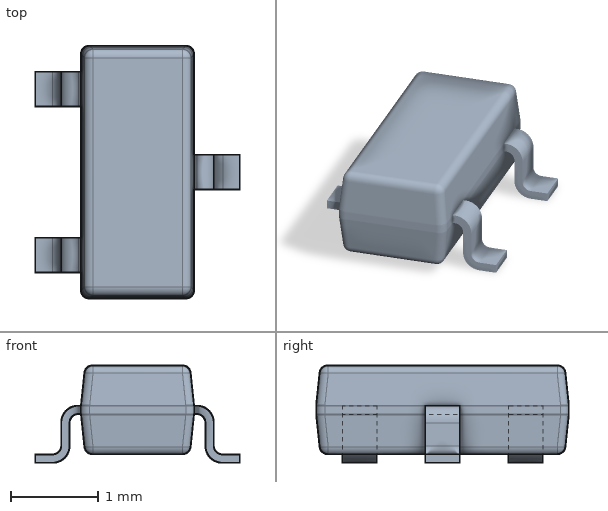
import cadquery as cq
import math

HOUSING_LENGTH = 2.9
HOUSING_WIDTH = 1.3
LEAD_SPAN = 2.35
TOTAL_HEIGHT = 1.12

LEAD_THICKNESS = 0.1
LEAD_WIDTH = 0.4
FOOT_LENGTH = 0.2
LEAD_ROW_OFFSET = 0.95
BEND_INNER_RADIUS = 0.1
BEND_OUTER_RADIUS = BEND_INNER_RADIUS + LEAD_THICKNESS

STANDOFF = LEAD_THICKNESS
HOUSING_HEIGHT = TOTAL_HEIGHT - STANDOFF
HOUSING_MIDDLE_Z = STANDOFF + HOUSING_HEIGHT / 2
BAND_HEIGHT = LEAD_THICKNESS
DRAFT_ANGLE = 6.0
EDGE_RADIUS = 0.1

BAND_TOP_Z = HOUSING_MIDDLE_Z + BAND_HEIGHT / 2
BAND_BOTTOM_Z = HOUSING_MIDDLE_Z - BAND_HEIGHT / 2


def make_housing():
    """Molded housing with drafted walls and every edge rounded, the band seams included."""
    cap_height = (HOUSING_HEIGHT - BAND_HEIGHT) / 2
    band = (
        cq.Workplane("XY", origin=(0, 0, BAND_BOTTOM_Z))
        .rect(HOUSING_WIDTH, HOUSING_LENGTH)
        .extrude(BAND_HEIGHT)
    )
    upper_cap = (
        cq.Workplane("XY", origin=(0, 0, BAND_TOP_Z))
        .rect(HOUSING_WIDTH, HOUSING_LENGTH)
        .extrude(cap_height, taper=DRAFT_ANGLE)
    )
    lower_cap = upper_cap.mirror("XY", (0, 0, HOUSING_MIDDLE_Z))
    return band.union(upper_cap).union(lower_cap).edges().fillet(EDGE_RADIUS)


def make_lead(side, y_center):
    """Gull-wing lead on the given X side (-1 or +1), ending flush on the housing band."""
    tip_x = LEAD_SPAN / 2
    foot_end_x = tip_x - FOOT_LENGTH
    column_inner_x = foot_end_x - BEND_OUTER_RADIUS
    column_outer_x = column_inner_x + LEAD_THICKNESS
    shoulder_x = column_outer_x - BEND_OUTER_RADIUS
    root_x = HOUSING_WIDTH / 2

    lower_bend_z = BEND_OUTER_RADIUS
    upper_bend_z = BAND_TOP_Z - BEND_OUTER_RADIUS
    diagonal = math.sqrt(0.5)
    inner_reach = BEND_INNER_RADIUS * diagonal
    outer_reach = BEND_OUTER_RADIUS * diagonal

    profile = (
        cq.Workplane("XZ")
        .moveTo(tip_x, 0)
        .lineTo(foot_end_x, 0)
        .threePointArc(
            (foot_end_x - outer_reach, lower_bend_z - outer_reach),
            (column_inner_x, lower_bend_z),
        )
        .lineTo(column_inner_x, upper_bend_z)
        .threePointArc(
            (shoulder_x + inner_reach, upper_bend_z + inner_reach),
            (shoulder_x, BAND_BOTTOM_Z),
        )
        .lineTo(root_x, BAND_BOTTOM_Z)
        .lineTo(root_x, BAND_TOP_Z)
        .lineTo(shoulder_x, BAND_TOP_Z)
        .threePointArc(
            (shoulder_x + outer_reach, upper_bend_z + outer_reach),
            (column_outer_x, upper_bend_z),
        )
        .lineTo(column_outer_x, lower_bend_z)
        .threePointArc(
            (foot_end_x - inner_reach, lower_bend_z - inner_reach),
            (foot_end_x, LEAD_THICKNESS),
        )
        .lineTo(tip_x, LEAD_THICKNESS)
        .close()
    )
    lead = profile.extrude(LEAD_WIDTH / 2, both=True)
    if side < 0:
        lead = lead.mirror("YZ")
    return lead.translate((0, y_center, 0))


housing = make_housing()

lead_places = [(-1, -LEAD_ROW_OFFSET), (-1, LEAD_ROW_OFFSET), (1, 0)]
leads = [make_lead(side, y_center) for side, y_center in lead_places]

bodies = [housing.solids().val(), *[lead.solids().val() for lead in leads]]
result = cq.Compound.makeCompound(bodies)